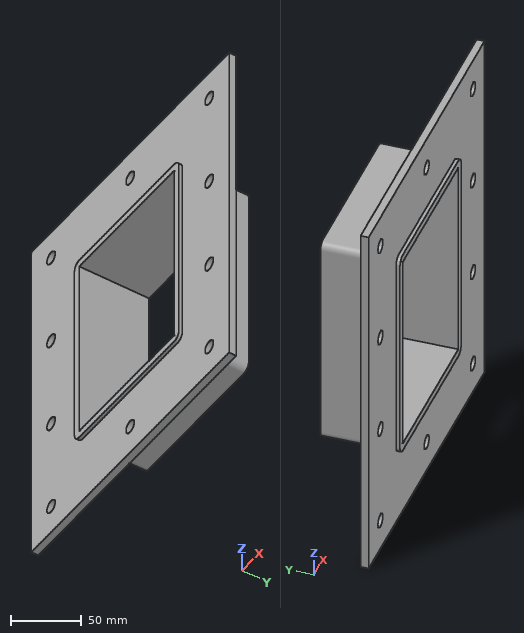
import cadquery as cq

plate_width = 252.5
plate_height = 291.5
plate_thickness = 6.0

opening_width = 121.0
opening_height = 159.7
wall = 6.0
duct_length = 60.0
front_projection = 3.0

hole_diameter = 10.5
column_spacing = 101.0
row_spacing = 80.5
column_count = 3
row_count = 4


def block(width, height, front, depth):
    """Box centred in X and Z, reaching back along +Y from its front face."""
    return cq.Workplane("XY").box(width, depth, height).translate((0, front + depth / 2, 0))


def bolt_positions():
    """Perimeter points of the bolt grid, as (x, z)."""
    points = []
    for column in range(column_count):
        for row in range(row_count):
            if column in (0, column_count - 1) or row in (0, row_count - 1):
                x = (column - (column_count - 1) / 2) * column_spacing
                z = (row - (row_count - 1) / 2) * row_spacing
                points.append((x, z))
    return points


plate = block(plate_width, plate_height, 0, plate_thickness)
bolt_holes = (
    cq.Workplane("XZ")
    .pushPoints(bolt_positions())
    .circle(hole_diameter / 2)
    .extrude(-plate_thickness)
)

duct = block(opening_width + 2 * wall, opening_height + 2 * wall, -front_projection, duct_length)
duct = duct.edges("|Y").fillet(wall)
opening = block(opening_width, opening_height, -front_projection, duct_length)

result = plate.cut(bolt_holes).union(duct).cut(opening)